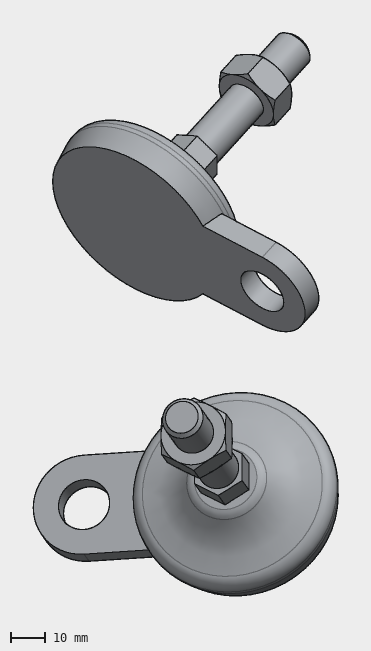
import cadquery as cq
import math


foot_radius = 60.0 / 2
base_radius = 28.4
flare_height = 7.5
rim_height = 9.0
rim_round = 4.0
rim_round_end = 83.0
flank_top = (11.8, 20.7)
crown_radius = 9.2
foot_height = 22.05

lug_centre_x = 45.0
lug_width = 30.0
lug_thickness = 7.0
lug_hole_diameter = 15.0

stud_diameter = 12.0
stud_top = 82.0
stud_chamfer = 1.2
neck_diameter = 10.0
drive_hex_flats = 14.0
drive_hex_bottom = 23.0
drive_hex_top = 32.1
nut_flats = 19.0
nut_bottom = 57.1
nut_top = 66.4
nut_bevel_angle = 30.0


def cylinder(diameter, bottom, top):
    """Round bar along the stud axis."""
    return (
        cq.Workplane("XZ", origin=(0, bottom, 0))
        .circle(diameter / 2)
        .extrude(bottom - top)
    )


def hexagon(flats, bottom, top):
    """Hexagonal bar along the stud axis with flats facing -X and +X."""
    corner_diameter = flats / math.cos(math.radians(30))
    return (
        cq.Workplane("XZ", origin=(0, bottom, 0))
        .transformed(rotate=(0, 0, 90))
        .polygon(6, corner_diameter)
        .extrude(bottom - top)
    )


def make_foot():
    """Revolved foot with a rounded rim and a dished flank."""
    round_centre_x = foot_radius - rim_round

    def rim_point(degrees):
        angle = math.radians(degrees)
        return (
            round_centre_x + rim_round * math.cos(angle),
            rim_height + rim_round * math.sin(angle),
        )

    return (
        cq.Workplane("XY")
        .lineTo(base_radius, 0)
        .lineTo(foot_radius, flare_height)
        .lineTo(foot_radius, rim_height)
        .threePointArc(rim_point(rim_round_end / 2), rim_point(rim_round_end))
        .tangentArcPoint(flank_top, relative=False)
        .tangentArcPoint((crown_radius, foot_height), relative=False)
        .lineTo(0, foot_height)
        .close()
        .revolve(360, (0, 0), (0, 1))
    )


def make_lug():
    """Flat lug with a rounded end, reaching back into the foot."""
    arm = (
        cq.Workplane("XZ")
        .center(lug_centre_x / 2, 0)
        .rect(lug_centre_x, lug_width)
        .extrude(-lug_thickness)
    )
    end = cq.Workplane("XZ").center(lug_centre_x, 0).circle(lug_width / 2).extrude(-lug_thickness)
    return arm.union(end)


def make_nut():
    """Hexagonal nut with its corners bevelled at both ends."""
    flat_radius = nut_flats / 2
    corner_radius = flat_radius / math.cos(math.radians(30))
    bevel_height = (corner_radius - flat_radius) * math.tan(math.radians(nut_bevel_angle))
    envelope = (
        cq.Workplane("XY")
        .moveTo(0, nut_bottom)
        .lineTo(flat_radius, nut_bottom)
        .lineTo(corner_radius, nut_bottom + bevel_height)
        .lineTo(corner_radius, nut_top - bevel_height)
        .lineTo(flat_radius, nut_top)
        .lineTo(0, nut_top)
        .close()
        .revolve(360, (0, 0), (0, 1))
    )
    return hexagon(nut_flats, nut_bottom, nut_top).intersect(envelope)


def make_stud():
    """Threadless stud with a chamfered tip, a drive hexagon and a neck."""
    shank = cylinder(stud_diameter, drive_hex_bottom, stud_top).faces(">Y").chamfer(stud_chamfer)
    neck = cylinder(neck_diameter, foot_height, drive_hex_bottom)
    drive_hex = hexagon(drive_hex_flats, drive_hex_bottom, drive_hex_top)
    return shank.union(neck).union(drive_hex)


lug_hole = (
    cq.Workplane("XZ")
    .center(lug_centre_x, 0)
    .circle(lug_hole_diameter / 2)
    .extrude(-lug_thickness)
)

result = make_foot().union(make_lug()).cut(lug_hole).union(make_stud()).union(make_nut())